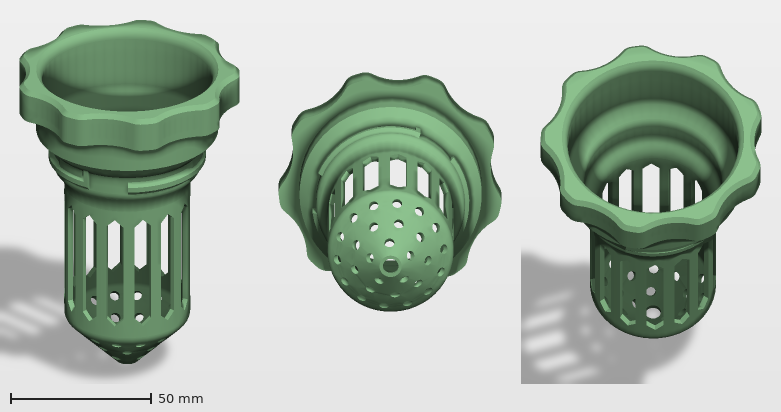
import cadquery as cq
import math

height = 116.4
wall = 2.0
tip_radius = 4.0
tip_hole_radius = 2.8
body_radius = 22.5
neck_radius = 26.5
bowl_radius = 32.5
cone_top = body_radius - tip_radius
bowl_depth = 23.9
bowl_bottom = height - bowl_depth
neck_top = bowl_bottom - (bowl_radius - neck_radius)
cone_rounding = 4.0

half_bend = math.tan(math.radians(22.5))

shoulder_top = 80.0
shoulder_convex_radius = 4.0
shoulder_concave_radius = 8.0

bowl_floor_rounding = 3.0
neck_rounding = 4.0
rim_rounding = 4.0

lobe_count = 9
flange_height = 12.0
flange_chamfer = 1.5
lobe_tip_radius = 40.0
lobe_rounding = 5.0
scallop_radius = 20.0
scallop_center_distance = 56.1

thread_count = 3
thread_radius = 28.0
thread_chamfer = thread_radius - neck_radius
thread_flat_height = 1.9
thread_start = 200.4
thread_end = 289.7
stop_angle = 3.5
latch_radius = 27.2
latch_ramp_start = 252.7
latch_ramp_end = 258.6
latch_end = 282.8
buried_radius = neck_radius - wall / 2

slot_count = 14
slot_width = 6.0
slot_point_height = 2.8
slot_bottom = 24.5
slot_top = 67.3

drain_diameter = 3.5
drain_rows = ((3.7, 5), (9.4, 9), (15.1, 14))


def polar(radius, angle):
    """Point at a radius and an angle in degrees."""
    return (radius * math.cos(math.radians(angle)), radius * math.sin(math.radians(angle)))


def tangent_offsets(rounding):
    """Offsets from a 45 degree corner to its rounding: along the upright, then per axis on the slope."""
    along = rounding * half_bend
    return along, along * math.sin(math.radians(45))


def shoulder_joint(lower_radius, upper_radius):
    """Radius where the two shoulder arcs join, then the heights of the concave and convex arcs."""
    concave = shoulder_concave_radius
    convex = shoulder_convex_radius
    turn = math.acos(1 - (upper_radius - lower_radius) / (concave + convex))
    joint_radius = lower_radius + concave * (1 - math.cos(turn))
    return joint_radius, concave * math.sin(turn), convex * math.sin(turn)


def revolve(profile, angle=360):
    """Turn a radius-height profile about the Z axis, from the +X direction."""
    return profile.close().revolve(angle, (0, 0, 0), (0, 1, 0))


def ring(feature, count):
    """Copies of a feature spaced evenly about the Z axis."""
    return [feature.rotate((0, 0, 0), (0, 0, 1), i * 360 / count) for i in range(count)]


joint_radius, concave_height, convex_height = shoulder_joint(body_radius, neck_radius)
shoulder_joint_height = shoulder_top - convex_height
shoulder_bottom = shoulder_joint_height - concave_height


def outer_shell():
    """Solid outer form, from the cone tip up to the rim."""
    upright, slope = tangent_offsets(cone_rounding)
    return revolve(
        cq.Workplane("XZ")
        .lineTo(tip_radius, 0)
        .lineTo(body_radius - slope, cone_top - slope)
        .tangentArcPoint((body_radius, cone_top + upright), relative=False)
        .lineTo(body_radius, shoulder_bottom)
        .tangentArcPoint((joint_radius, shoulder_joint_height), relative=False)
        .tangentArcPoint((neck_radius, shoulder_top), relative=False)
        .lineTo(neck_radius, neck_top)
        .lineTo(bowl_radius, bowl_bottom)
        .lineTo(bowl_radius, height)
        .lineTo(0, height)
    )


def cavity():
    """Hollow inside, one wall thickness in from the outer form and opening at the rim."""
    body = body_radius - wall
    neck = neck_radius - wall
    bowl = bowl_radius - wall
    corner_rise = wall * half_bend
    body_low = cone_top + corner_rise
    neck_high = neck_top + corner_rise
    bowl_low = bowl_bottom + corner_rise
    rim_low = height - wall
    inner_joint, lower_rise, upper_rise = shoulder_joint(body, neck)
    body_upright, body_slope = tangent_offsets(cone_rounding - wall)
    neck_upright, neck_slope = tangent_offsets(neck_rounding)
    floor_upright, floor_slope = tangent_offsets(bowl_floor_rounding)
    rim_upright, rim_slope = tangent_offsets(rim_rounding)
    return revolve(
        cq.Workplane("XZ")
        .moveTo(0, body_low - body)
        .lineTo(body - body_slope, body_low - body_slope)
        .tangentArcPoint((body, body_low + body_upright), relative=False)
        .lineTo(body, shoulder_joint_height - lower_rise)
        .tangentArcPoint((inner_joint, shoulder_joint_height), relative=False)
        .tangentArcPoint((neck, shoulder_joint_height + upper_rise), relative=False)
        .lineTo(neck, neck_high - neck_upright)
        .tangentArcPoint((neck + neck_slope, neck_high + neck_slope), relative=False)
        .lineTo(bowl - floor_slope, bowl_low - floor_slope)
        .tangentArcPoint((bowl, bowl_low + floor_upright), relative=False)
        .lineTo(bowl, rim_low - rim_upright)
        .tangentArcPoint((bowl + rim_slope, rim_low + rim_slope), relative=False)
        .lineTo(bowl_radius, height)
        .lineTo(0, height)
    )


def flange():
    """Grip disc with rounded lobes between scallops and a chamfered top edge."""
    bottom = height - flange_height
    lobes = cq.Workplane("XY", origin=(0, 0, bottom)).circle(lobe_tip_radius).extrude(flange_height)
    scallop = (
        cq.Workplane("XY", origin=(0, -scallop_center_distance, bottom))
        .circle(scallop_radius)
        .extrude(flange_height)
    )
    for cutter in ring(scallop, lobe_count):
        lobes = lobes.cut(cutter)
    lobes = lobes.edges("|Z").fillet(lobe_rounding)
    return lobes.faces(">Z").edges().chamfer(flange_chamfer)


def bayonet_thread():
    """One thread segment with its end stop and its latch, on the -X, -Y quarter."""
    flat_bottom = shoulder_top + thread_chamfer
    flat_top = flat_bottom + thread_flat_height
    thread = revolve(
        cq.Workplane("XZ")
        .moveTo(buried_radius, shoulder_top)
        .lineTo(neck_radius, shoulder_top)
        .lineTo(thread_radius, flat_bottom)
        .lineTo(thread_radius, flat_top)
        .lineTo(neck_radius, flat_top + thread_chamfer)
        .lineTo(buried_radius, flat_top + thread_chamfer),
        thread_end - thread_start,
    ).rotate((0, 0, 0), (0, 0, 1), thread_start)
    stop = revolve(
        cq.Workplane("XZ")
        .moveTo(buried_radius, flat_bottom)
        .lineTo(thread_radius, flat_bottom)
        .lineTo(thread_radius, bowl_bottom)
        .lineTo(buried_radius, bowl_bottom),
        stop_angle,
    ).rotate((0, 0, 0), (0, 0, 1), thread_end - stop_angle)
    latch_middle = (latch_ramp_end + latch_end) / 2
    buried_middle = (latch_ramp_start + latch_end) / 2
    latch = (
        cq.Workplane("XY", origin=(0, 0, flat_top))
        .moveTo(*polar(neck_radius, latch_ramp_start))
        .lineTo(*polar(latch_radius, latch_ramp_end))
        .threePointArc(polar(latch_radius, latch_middle), polar(latch_radius, latch_end))
        .lineTo(*polar(buried_radius, latch_end))
        .threePointArc(polar(buried_radius, buried_middle), polar(buried_radius, latch_ramp_start))
        .close()
        .extrude(bowl_bottom - flat_top)
    )
    return thread.union(stop).union(latch)


def window_slot():
    """Slot pointed at both ends, through the wall on the +X side."""
    half = slot_width / 2
    return (
        cq.Workplane("YZ")
        .moveTo(0, slot_bottom)
        .lineTo(half, slot_bottom + slot_point_height)
        .lineTo(half, slot_top - slot_point_height)
        .lineTo(0, slot_top)
        .lineTo(-half, slot_top - slot_point_height)
        .lineTo(-half, slot_bottom + slot_point_height)
        .close()
        .extrude(bowl_radius)
    )


def drain_hole(row_height):
    """Hole square to the cone surface on the +X side."""
    inward = cq.Vector(-1, 0, 1)
    start = cq.Vector(tip_radius + row_height, 0, row_height) - inward * wall
    length = 4 * wall
    return cq.Workplane(cq.Solid.makeCylinder(drain_diameter / 2, length, start, inward))


result = outer_shell().union(flange())
for thread in ring(bayonet_thread(), thread_count):
    result = result.union(thread)
result = result.cut(cavity())
result = result.cut(cq.Workplane("XY").circle(tip_hole_radius).extrude(cone_top))
for slot in ring(window_slot(), slot_count):
    result = result.cut(slot)
for row_height, hole_count in drain_rows:
    for hole in ring(drain_hole(row_height), hole_count):
        result = result.cut(hole)